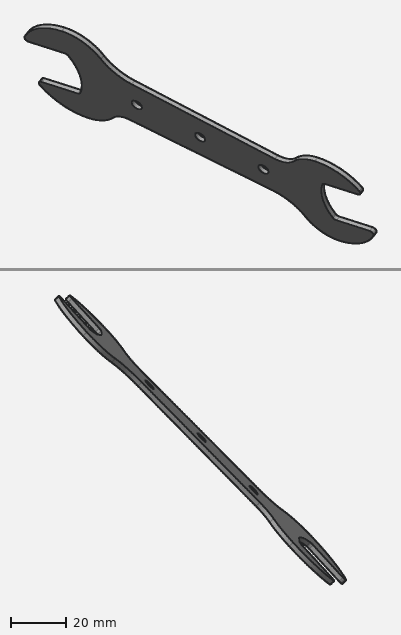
import cadquery as cq
import math

thickness = 2.0
jaw_tilt = 15.0

handle_half_height = 10.5
handle_taper = 1.1
hole_diameter = 4.3
hole_pitch = 27.0
hole_count = 3

large_head = {
    "origin_x": -51.2,
    "turn": 180.0 + jaw_tilt,
    "centre_u": 2.1,
    "front_radius": 22.95,
    "back_radius": 17.0,
    "jaw_width": 21.0,
    "floor_radius": 19.65,
    "upper_neck_radius": 18.5,
    "lower_neck_radius": 8.5,
}
small_head = {
    "origin_x": 52.4,
    "turn": jaw_tilt,
    "centre_u": 1.9,
    "front_radius": 21.0,
    "back_radius": 15.0,
    "jaw_width": 19.0,
    "floor_radius": 19.3,
    "upper_neck_radius": 9.5,
    "lower_neck_radius": 18.5,
}
heads = (large_head, small_head)
tip_radius = 1.5
corner_radius = 1.5


def plate_plane():
    """XZ sketch plane on the +Y face, so that plates extrude toward -Y."""
    return cq.Workplane("XZ", origin=(0, thickness / 2, 0))


def place(head, plate):
    """Turn a plate from the head's own frame to its place on the handle."""
    turned = plate.rotate((0, 0, 0), (0, -1, 0), head["turn"])
    return turned.translate((head["origin_x"], 0, 0))


def head_blank(head):
    """Solid head: one front arc running tangent into two tighter back arcs."""
    centre = head["centre_u"]
    front = head["front_radius"]
    back = head["back_radius"]
    offset = front - back
    diagonal = back * math.sqrt(0.5)
    outline = (
        plate_plane()
        .moveTo(centre, -front)
        .threePointArc((centre + front, 0), (centre, front))
        .threePointArc((centre - diagonal, offset + diagonal), (centre - back, offset))
        .lineTo(centre - back, -offset)
        .threePointArc((centre - diagonal, -offset - diagonal), (centre, -front))
        .close()
    )
    return place(head, outline.extrude(thickness))


def jaw_opening(head):
    """Parallel-sided jaw cutter with an arc floor and rounded inner corners."""
    half_width = head["jaw_width"] / 2
    radius = head["floor_radius"]
    corner_u = radius - math.sqrt(radius**2 - half_width**2)
    open_end = head["centre_u"] + 2 * head["front_radius"]
    cutter = (
        plate_plane()
        .moveTo(open_end, -half_width)
        .lineTo(corner_u, -half_width)
        .threePointArc((0, 0), (corner_u, half_width))
        .lineTo(open_end, half_width)
        .close()
        .extrude(thickness)
    )
    cutter = cutter.edges("|Y").edges("not >X").fillet(corner_radius)
    return place(head, cutter)


def handle_half_height_at(x):
    return handle_half_height - x * math.tan(math.radians(handle_taper))


def handle_blank():
    """Tapered bar reaching from one head origin to the other."""
    left = large_head["origin_x"]
    right = small_head["origin_x"]
    left_half = handle_half_height_at(left)
    right_half = handle_half_height_at(right)
    corners = [(left, -left_half), (right, -right_half), (right, right_half), (left, left_half)]
    return plate_plane().polyline(corners).close().extrude(thickness)


def from_head_frame(head, u, v):
    """X and Z of a point given in a head's own frame."""
    turn = math.radians(head["turn"])
    x = head["origin_x"] + u * math.cos(turn) - v * math.sin(turn)
    z = u * math.sin(turn) + v * math.cos(turn)
    return x, z


def neck_point(head, side):
    """Point where the handle edge meets a head's back arc; side is +1 upper, -1 lower."""
    outward = math.copysign(1, head["origin_x"])
    v = side * outward * (head["front_radius"] - head["back_radius"])
    arc_x, arc_z = from_head_frame(head, head["centre_u"], v)
    slope = -side * math.tan(math.radians(handle_taper))
    rise = side * handle_half_height_at(arc_x) - arc_z
    a = 1 + slope**2
    b = slope * rise
    c = rise**2 - head["back_radius"] ** 2
    dx = (-b - outward * math.sqrt(b**2 - a * c)) / a
    return (arc_x + dx, 0, arc_z + rise + slope * dx)


def tip_point(head, side):
    """Point where a jaw side meets the front arc; side is +1 or -1 along v."""
    v = side * head["jaw_width"] / 2
    u = head["centre_u"] + math.sqrt(head["front_radius"] ** 2 - v**2)
    x, z = from_head_frame(head, u, v)
    return (x, 0, z)


def round_edge(body, point, radius):
    """Fillet the edge through the plate nearest to a point."""
    return body.edges("|Y").edges(cq.selectors.NearestToPointSelector(point)).fillet(radius)


def handle_holes():
    """Row of equally spaced holes along the handle axis."""
    centres = plate_plane().rarray(hole_pitch, 1, hole_count, 1)
    return centres.circle(hole_diameter / 2).extrude(thickness)


body = handle_blank()
for head in heads:
    body = body.union(head_blank(head))
for head in heads:
    body = round_edge(body, neck_point(head, 1), head["upper_neck_radius"])
    body = round_edge(body, neck_point(head, -1), head["lower_neck_radius"])
for head in heads:
    body = body.cut(jaw_opening(head))
    for side in (1, -1):
        body = round_edge(body, tip_point(head, side), tip_radius)

result = body.cut(handle_holes()).solids()